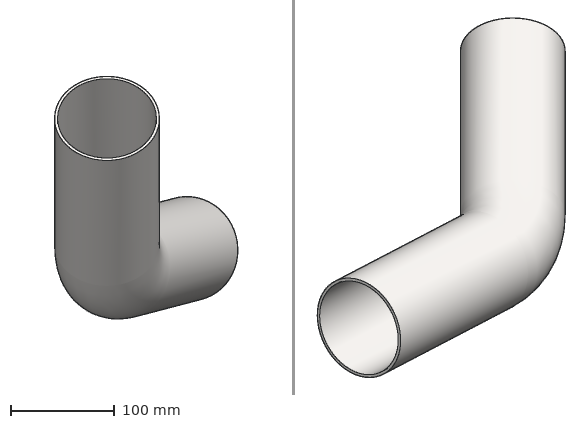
import cadquery as cq
import math

total_height = 454.5
outer_diameter = 101.5
bore_diameter = 95.5
bend_radius = outer_diameter
bend_angle = 45.0

angle = math.radians(bend_angle)
elbow_drop = bend_radius * math.sin(angle)
rim_drop = outer_diameter / 2 * math.sin(angle)
leg_length = (total_height - elbow_drop - rim_drop) / (1 + math.cos(angle))


def elbow_point(turn):
    """Centreline point (Y, Z) after turning from the vertical leg towards +Y."""
    return (
        bend_radius * (1 - math.cos(turn)),
        -bend_radius * math.sin(turn),
    )


elbow_end = elbow_point(angle)
slanted_end = (
    elbow_end[0] + leg_length * math.sin(angle),
    elbow_end[1] - leg_length * math.cos(angle),
)
centreline = (
    cq.Workplane("YZ")
    .moveTo(0, leg_length)
    .lineTo(0, 0)
    .threePointArc(elbow_point(angle / 2), elbow_end)
    .lineTo(*slanted_end)
)

result = (
    cq.Workplane("XY", origin=(0, 0, leg_length))
    .circle(outer_diameter / 2)
    .circle(bore_diameter / 2)
    .sweep(centreline)
)